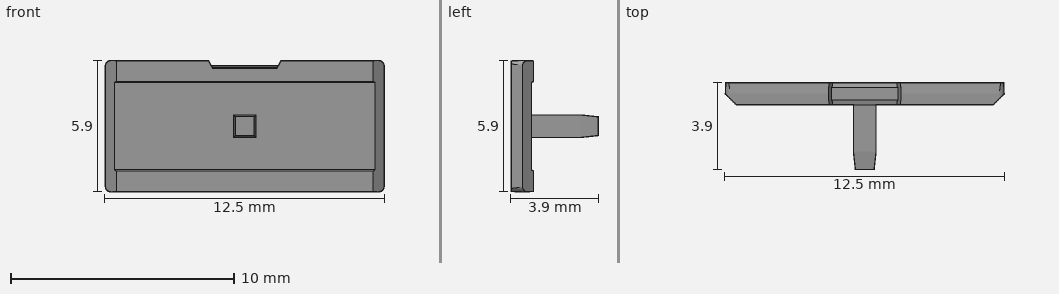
import cadquery as cq

length = 12.5
height = 5.9
total_depth = 3.9
plate_depth = 1.0
parting_depth = plate_depth / 2
draft_inset = 0.02
corner_radius = 0.26
end_bevel = 0.5

channel_height = 3.9
channel_depth = 0.09
channel_wall_run = 0.06

notch_top_width = 3.24
notch_bottom_width = 2.88
notch_depth = 0.36
ridge_height = 0.12
ledge_width = 0.22
ledge_fall = 0.05

post_side = 1.02
tip_side = 0.85
tip_length = 0.8


def drafted_plate():
    """Plate widest at mid depth, with beveled front ends and rounded corners."""
    half_length = length / 2
    half_height = height / 2
    end_profile = [
        (half_length - draft_inset, 0),
        (half_length, -parting_depth),
        (half_length - end_bevel, -plate_depth),
    ]
    mirrored_ends = [(-x, y) for x, y in reversed(end_profile)]
    plan = cq.Workplane("XY").polyline(end_profile + mirrored_ends).close().extrude(half_height, both=True)

    edge_profile = [
        (0, half_height - draft_inset),
        (-parting_depth, half_height),
        (-plate_depth, half_height - draft_inset),
    ]
    mirrored_edges = [(y, -z) for y, z in reversed(edge_profile)]
    section = cq.Workplane("YZ").polyline(edge_profile + mirrored_edges).close().extrude(half_length, both=True)

    outline = cq.Workplane("XZ").rect(length, height).extrude(plate_depth).edges("|Y").fillet(corner_radius)
    return plan.intersect(section).intersect(outline)


def channel():
    """Full-length channel with sloping side walls."""
    half_floor = channel_height / 2
    half_mouth = half_floor + channel_wall_run
    floor_y = channel_depth - plate_depth
    profile = [
        (floor_y, -half_floor),
        (floor_y, half_floor),
        (-plate_depth, half_mouth),
        (-plate_depth, -half_mouth),
    ]
    return cq.Workplane("YZ").polyline(profile).close().extrude(length / 2, both=True)


def notch():
    """Flared notch with a flat ridge between two slightly sloping ledges."""
    top = height / 2
    bottom = top - notch_depth
    flare = [
        (-notch_top_width / 2, top),
        (-notch_bottom_width / 2, bottom),
        (notch_bottom_width / 2, bottom),
        (notch_top_width / 2, top),
    ]
    opening = cq.Workplane("XZ").polyline(flare).close().extrude(plate_depth)
    ridge_top = bottom + ridge_height
    ledge_root = bottom + ledge_fall
    ridge_front = ledge_width - plate_depth
    floor_profile = [
        (0, bottom),
        (-ledge_width, ledge_root),
        (-ledge_width, ridge_top),
        (ridge_front, ridge_top),
        (ridge_front, ledge_root),
        (-plate_depth, bottom),
    ]
    floor = cq.Workplane("YZ").polyline(floor_profile).close().extrude(notch_top_width / 2, both=True)
    return opening.cut(floor)


def post():
    """Square post rooted at mid plate, ending in a tapered tip."""
    shank_length = total_depth - tip_length - parting_depth
    shank = cq.Workplane("XZ", origin=(0, -parting_depth, 0)).rect(post_side, post_side).extrude(shank_length)
    tip = shank.faces("<Y").workplane().rect(post_side, post_side)
    return tip.workplane(offset=tip_length).rect(tip_side, tip_side).loft(combine=True)


result = drafted_plate().cut(channel()).cut(notch()).union(post())